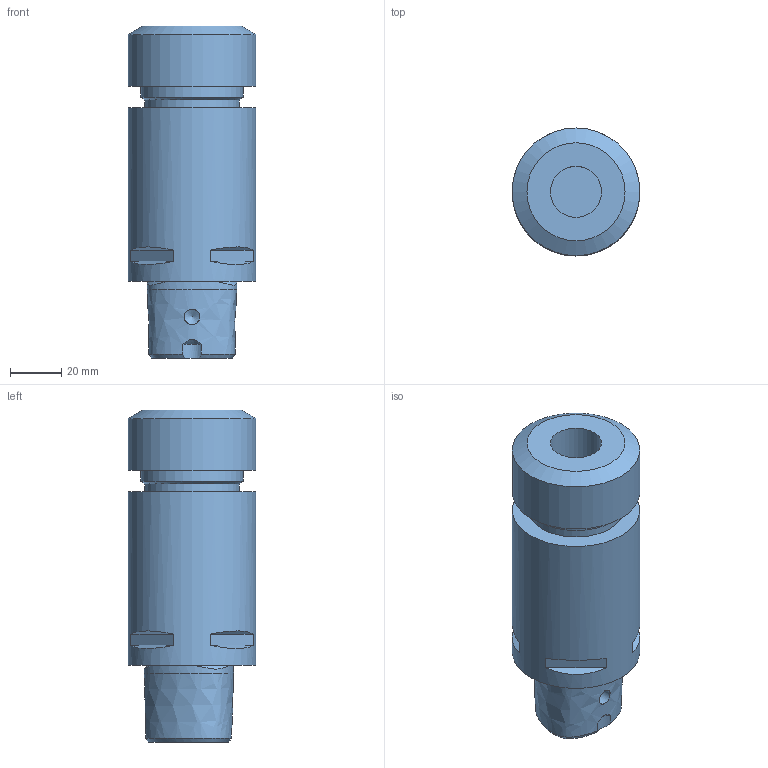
import cadquery as cq
import math

top_z = 100.0
nut_bottom_z = 76.4
thread_bottom_z = 72.1
body_top_z = 68.0
straight_bottom_z = -3.0
shank_bottom_z = -30.0

body_radius = 25.0
nut_face_radius = 19.2
nut_bevel_angle = 30.0
thread_radius = 20.0
neck_radius = 18.5
thread_chamfer_height = 1.0
bore_radius = 10.0
bore_depth = 40.0

flat_count = 4
flat_first_angle = 45.0
flat_distance = 22.0
flat_height = 4.4
flat_centre_z = 10.05
flat_ramp_angle = 22.5

lobe_count = 3
lobe_direction = 90.0
lobe_offset = 1.25
shank_mean_radius = 17.5
taper_per_side = 1 / 40
shank_bevel = 1.5
shank_bevel_inset = 1.0
outline_points = 72

relief_face_radius = 17.3

side_hole_radius = 3.05
side_hole_z = -13.9
side_hole_depth = 5.0
side_hole_tip_angle = 120.0
slot_radius = 5.0
slot_axis_offset = 3.2
slot_height = 5.3
slot_tip_angle = 90.0

cut_overrun = 1.0


def drill(radius, straight_depth, tip_angle):
    """Drilled-hole shape along +Z, straight up to the given height and ending in a conical tip."""
    tip_height = radius / math.tan(math.radians(tip_angle / 2))
    return (
        cq.Workplane("XZ")
        .moveTo(0, -cut_overrun)
        .lineTo(radius, -cut_overrun)
        .lineTo(radius, straight_depth)
        .lineTo(0, straight_depth + tip_height)
        .close()
        .revolve(360, (0, 0), (0, 1))
    )


def upper_body():
    """Body, neck and bevelled collet nut as one turned profile."""
    bevel_height = (body_radius - nut_face_radius) * math.tan(math.radians(nut_bevel_angle))
    return (
        cq.Workplane("XZ")
        .lineTo(body_radius, 0)
        .lineTo(body_radius, body_top_z)
        .lineTo(neck_radius, body_top_z)
        .lineTo(neck_radius, thread_bottom_z - thread_chamfer_height)
        .lineTo(thread_radius, thread_bottom_z)
        .lineTo(thread_radius, nut_bottom_z)
        .lineTo(body_radius, nut_bottom_z)
        .lineTo(body_radius, top_z - bevel_height)
        .lineTo(nut_face_radius, top_z)
        .lineTo(0, top_z)
        .close()
        .revolve(360, (0, 0), (0, 1))
    )


def flat_cutter():
    """Trapezoidal channel outside one spanner flat, facing +X."""
    reach = body_radius - flat_distance + cut_overrun
    half_inner = flat_height / 2
    half_outer = half_inner + reach * math.tan(math.radians(flat_ramp_angle))
    return (
        cq.Workplane("XZ")
        .moveTo(flat_distance, flat_centre_z - half_inner)
        .lineTo(flat_distance + reach, flat_centre_z - half_outer)
        .lineTo(flat_distance + reach, flat_centre_z + half_outer)
        .lineTo(flat_distance, flat_centre_z + half_inner)
        .close()
        .extrude(body_radius, both=True)
    )


def lobed_point(mean_radius, angle):
    """Point of the three-lobed curve whose outward normal has the given angle in radians."""
    phase = lobe_count * (angle - math.radians(lobe_direction))
    support = mean_radius + lobe_offset * math.cos(phase)
    slope = -lobe_count * lobe_offset * math.sin(phase)
    return (
        support * math.cos(angle) - slope * math.sin(angle),
        support * math.sin(angle) + slope * math.cos(angle),
    )


def lobed_wire(mean_radius, z):
    """Closed three-lobed outline at height z, with its seam facing -Y."""
    points = []
    for index in range(outline_points):
        angle = -math.pi / 2 + 2 * math.pi * index / outline_points
        points.append(cq.Vector(*lobed_point(mean_radius, angle), z))
    return cq.Wire.assembleEdges([cq.Edge.makeSpline(points, periodic=True)])


def shank():
    """Straight collar, taper and bottom bevel, trimmed at the lobe tips under the body."""
    bevel_z = shank_bottom_z + shank_bevel
    end_radius = shank_mean_radius - (straight_bottom_z - bevel_z) * taper_per_side
    sections = [
        lobed_wire(shank_mean_radius, 0),
        lobed_wire(shank_mean_radius, straight_bottom_z),
        lobed_wire(end_radius, bevel_z),
        lobed_wire(end_radius - shank_bevel_inset, shank_bottom_z),
    ]
    solid = cq.Workplane(cq.Solid.makeLoft(sections, True))
    relief_outer_radius = shank_mean_radius + lobe_offset + cut_overrun
    relief_height = relief_outer_radius - relief_face_radius
    relief = (
        cq.Workplane("XZ")
        .moveTo(relief_face_radius, 0)
        .lineTo(relief_outer_radius, 0)
        .lineTo(relief_outer_radius, -relief_height)
        .close()
        .revolve(360, (0, 0), (0, 1))
    )
    return solid.cut(relief)


def side_radius(z):
    """Distance from the axis to the shank side facing -Y at height z."""
    return shank_mean_radius - lobe_offset - (straight_bottom_z - z) * taper_per_side


def bore():
    """Blind collet bore in the nut face."""
    return cq.Workplane("XY").workplane(offset=top_z).circle(bore_radius).extrude(-bore_depth)


def side_hole():
    """Radial drilled hole running along +Y from the shank side."""
    tool = drill(side_hole_radius, side_hole_depth, side_hole_tip_angle)
    tool = tool.rotate((0, 0, 0), (1, 0, 0), -90)
    return tool.translate((0, -side_radius(side_hole_z), side_hole_z))


def slot():
    """Vertical slot with a conical top, its axis lying outside the shank."""
    tool = drill(slot_radius, slot_height, slot_tip_angle)
    axis_y = -side_radius(shank_bottom_z) - slot_axis_offset
    return tool.translate((0, axis_y, shank_bottom_z))


result = upper_body().union(shank())
for index in range(flat_count):
    flat_angle = flat_first_angle + index * 360 / flat_count
    result = result.cut(flat_cutter().rotate((0, 0, 0), (0, 0, 1), flat_angle))
result = result.cut(bore()).cut(side_hole()).cut(slot())